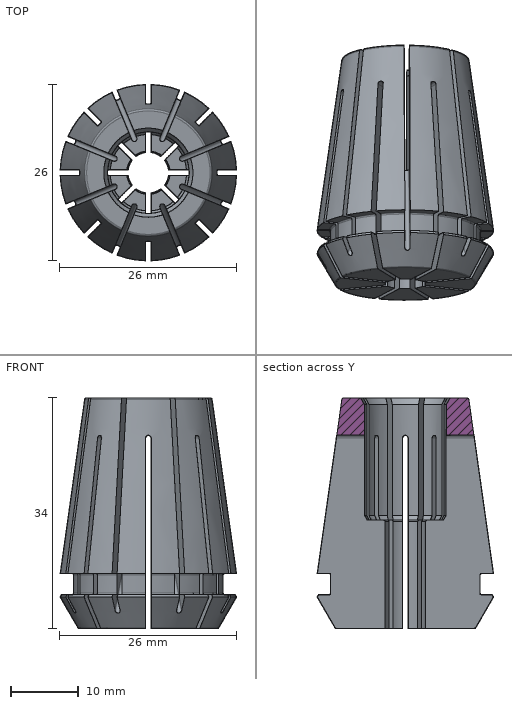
import cadquery as cq
import math

length = 34.0
max_radius = 13.0

nose_angle = 30.0
nose_rim_height = 4.64
nose_base_radius = max_radius - nose_rim_height * math.tan(math.radians(nose_angle))
nose_base_fillet = 0.2
rim_chamfer_width = 0.2
collar_top = 5.0

neck_radius = 11.04
neck_fillet = 0.2
taper_bottom = 8.1

taper_angle = 8.0
taper_top_radius = max_radius - (length - taper_bottom) * math.tan(math.radians(taper_angle))
top_fillet = 0.3

grip_radius = 3.0
grip_edge_chamfer = 0.2
relief_radius = 6.0
relief_floor = 16.0
floor_radius = 5.63
mouth_radius = 6.57
bore_cone_angle = 30.0
mouth_depth = (mouth_radius - relief_radius) / math.tan(math.radians(bore_cone_angle))
floor_cone_height = (relief_radius - floor_radius) / math.tan(math.radians(bore_cone_angle))

slots_per_end = 8
slot_pitch = 360.0 / slots_per_end
slot_width = 0.8
slot_half_width = slot_width / 2
lower_slot_top = 28.45

slot_floor_inner_radius = 5.0
slot_floor_outer_radius = 11.63
slot_floor_outer_height = (slot_floor_outer_radius - nose_base_radius) / math.tan(math.radians(nose_angle))

overrun = 1.0


def revolved_body():
    """Outer shape of the collet, solid to the axis."""
    body = (
        cq.Workplane("XZ")
        .moveTo(0, 0)
        .lineTo(nose_base_radius, 0)
        .lineTo(max_radius, nose_rim_height)
        .lineTo(max_radius - rim_chamfer_width, collar_top)
        .lineTo(neck_radius, collar_top)
        .lineTo(neck_radius, taper_bottom)
        .lineTo(max_radius, taper_bottom)
        .lineTo(taper_top_radius, length)
        .lineTo(0, length)
        .close()
        .revolve(360, (0, 0), (0, 1))
    )
    neck_corners = cq.selectors.BoxSelector(
        (-max_radius, -max_radius, collar_top - overrun),
        (max_radius, max_radius, taper_bottom + overrun),
    )
    neck_edges = body.edges(neck_corners).edges(cq.selectors.RadiusNthSelector(0))
    body = neck_edges.fillet(neck_fillet)
    body = body.faces("<Z").edges().fillet(nose_base_fillet)
    return body.faces(">Z").edges().fillet(top_fillet)


def bore_cutter():
    """Grip bore, wider relief bore with a conical foot above it, and flared mouth."""
    return (
        cq.Workplane("XZ")
        .moveTo(0, -overrun)
        .lineTo(grip_radius, -overrun)
        .lineTo(grip_radius, relief_floor - grip_edge_chamfer)
        .lineTo(grip_radius + grip_edge_chamfer, relief_floor)
        .lineTo(floor_radius, relief_floor)
        .lineTo(relief_radius, relief_floor + floor_cone_height)
        .lineTo(relief_radius, length - mouth_depth)
        .lineTo(mouth_radius, length)
        .lineTo(0, length)
        .close()
        .revolve(360, (0, 0), (0, 1))
    )


def lower_slot_cutter():
    """Radial slot along +X, open at the bottom, with a round upper end."""
    reach = max_radius + overrun
    straight_top = lower_slot_top - slot_half_width
    return (
        cq.Workplane("YZ")
        .moveTo(-slot_half_width, -overrun)
        .lineTo(slot_half_width, -overrun)
        .lineTo(slot_half_width, straight_top)
        .threePointArc((0, lower_slot_top), (-slot_half_width, straight_top))
        .close()
        .extrude(reach)
    )


def upper_slot_cutter():
    """Radial slot along +X, open at the top, with a round floor falling outward."""
    rise = relief_floor - slot_floor_outer_height
    run = slot_floor_outer_radius - slot_floor_inner_radius
    slope = math.atan2(rise, run)
    reach = max_radius + overrun

    lift = slot_half_width / math.cos(slope)
    outer_height = slot_floor_outer_height - (reach - slot_floor_outer_radius) * math.tan(slope) + lift
    inner_height = outer_height + reach * math.tan(slope)

    walls = (
        cq.Workplane("XZ")
        .moveTo(0, inner_height)
        .lineTo(reach, outer_height)
        .lineTo(reach, length + overrun)
        .lineTo(0, length + overrun)
        .close()
        .extrude(slot_half_width, both=True)
    )
    floor = cq.Solid.makeCylinder(
        slot_half_width,
        reach / math.cos(slope),
        cq.Vector(0, 0, inner_height),
        cq.Vector(math.cos(slope), 0, -math.sin(slope)),
    )
    return walls.union(cq.Workplane(floor))


def cut_around(body, cutter, start_angle):
    """Cut the slot at every pitch position around the axis."""
    for index in range(slots_per_end):
        angle = start_angle + index * slot_pitch
        body = body.cut(cutter.rotate((0, 0, 0), (0, 0, 1), angle))
    return body


collet = revolved_body().cut(bore_cutter())
collet = cut_around(collet, lower_slot_cutter(), 0)
collet = cut_around(collet, upper_slot_cutter(), slot_pitch / 2)
result = collet